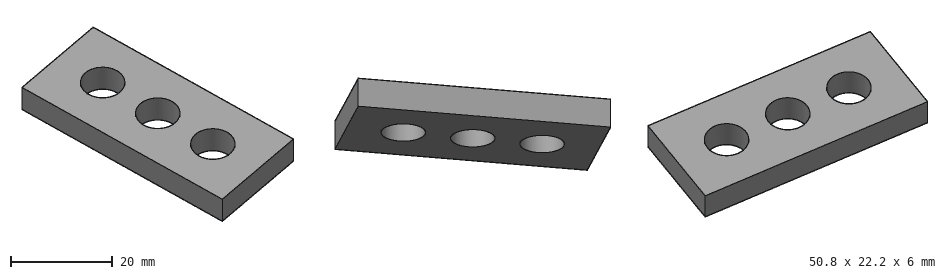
import cadquery as cq

length = 50.8
width = 22.25
thickness = 6.0

hole_diameter = 8.75
hole_pitch = 13.95
hole_count = 3

plate = cq.Workplane("XY").box(length, width, thickness)

result = (
    plate.faces(">Z")
    .workplane()
    .rarray(hole_pitch, width, hole_count, 1)
    .hole(hole_diameter)
)